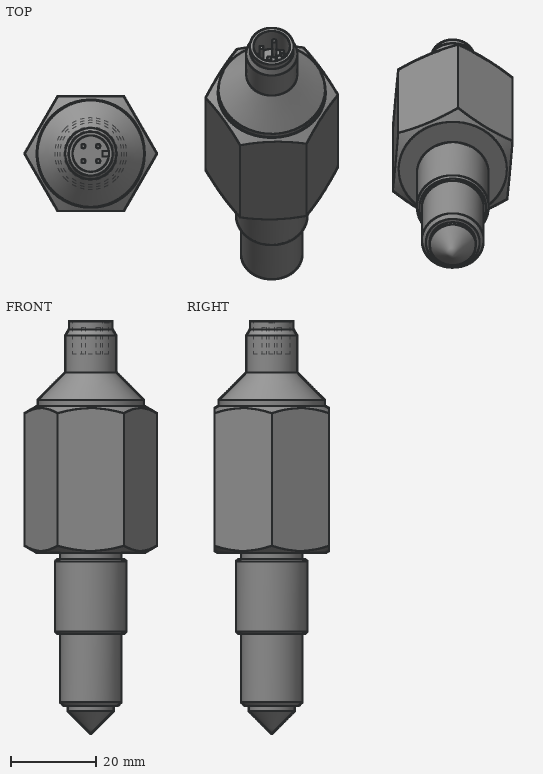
import cadquery as cq
import math

total_height = 97.0

point_radius = 5.4
point_height = point_radius
point_land_top = 6.6
probe_radius = 7.3
probe_end_chamfer = 1.0
probe_top = 23.6

sleeve_radius = 8.4
sleeve_top = 41.1
sleeve_chamfer = 0.6

hex_across_flats = 27.0
hex_bottom = 42.6
hex_top = 77.0
hex_end_radius = 12.7
hex_chamfer_angle = 30.0

collar_radius = 12.5
collar_top = 78.5
plug_radius = 6.0
cone_top = collar_top + collar_radius - plug_radius

rim_radius = 5.1
shoulder_height = 93.6
rim_bottom = 95.1

socket_radius = 4.3
socket_depth = 7.8
pin_radius = 0.5
pin_offset = 1.7
pin_recess = 1.5
key_inner_x = 2.8
key_width = 1.3
key_recess = 0.5


def make_turned_body():
    """Revolve everything round about the Z axis, from the point to the rim."""
    profile = [
        (0, 0),
        (point_radius, point_height),
        (point_radius, point_land_top),
        (probe_radius - probe_end_chamfer, point_land_top),
        (probe_radius, point_land_top + probe_end_chamfer),
        (probe_radius, probe_top),
        (sleeve_radius - sleeve_chamfer, probe_top),
        (sleeve_radius, probe_top + sleeve_chamfer),
        (sleeve_radius, sleeve_top - sleeve_chamfer),
        (sleeve_radius - sleeve_chamfer, sleeve_top),
        (probe_radius, sleeve_top),
        (probe_radius, hex_top),
        (collar_radius, hex_top),
        (collar_radius, collar_top),
        (plug_radius, cone_top),
        (plug_radius, shoulder_height),
        (rim_radius, rim_bottom),
        (rim_radius, total_height),
        (0, total_height),
    ]
    return cq.Workplane("XZ").polyline(profile).close().revolve(360, (0, 0), (0, 1))


def make_hexagon():
    """Hexagonal prism, corners on the X axis, trimmed by a cone at each end."""
    corner_radius = hex_across_flats / math.sqrt(3)
    chamfer_height = (corner_radius - hex_end_radius) * math.tan(math.radians(hex_chamfer_angle))
    prism = (
        cq.Workplane("XY", origin=(0, 0, hex_bottom))
        .polygon(6, 2 * corner_radius)
        .extrude(hex_top - hex_bottom)
    )
    envelope_profile = [
        (0, hex_bottom),
        (hex_end_radius, hex_bottom),
        (corner_radius, hex_bottom + chamfer_height),
        (corner_radius, hex_top - chamfer_height),
        (hex_end_radius, hex_top),
        (0, hex_top),
    ]
    envelope = cq.Workplane("XZ").polyline(envelope_profile).close().revolve(360, (0, 0), (0, 1))
    return prism.intersect(envelope)


def make_socket():
    """Round socket volume, less the pins and the key left standing in it."""
    floor = cq.Workplane("XY", origin=(0, 0, total_height - socket_depth))
    bore = floor.circle(socket_radius).extrude(socket_depth)
    pins = (
        floor.rect(2 * pin_offset, 2 * pin_offset, forConstruction=True)
        .vertices()
        .circle(pin_radius)
        .extrude(socket_depth - pin_recess)
    )
    key = (
        floor.center((key_inner_x + rim_radius) / 2, 0)
        .rect(rim_radius - key_inner_x, key_width)
        .extrude(socket_depth - key_recess)
    )
    return bore.cut(pins).cut(key)


result = make_turned_body().union(make_hexagon()).cut(make_socket())